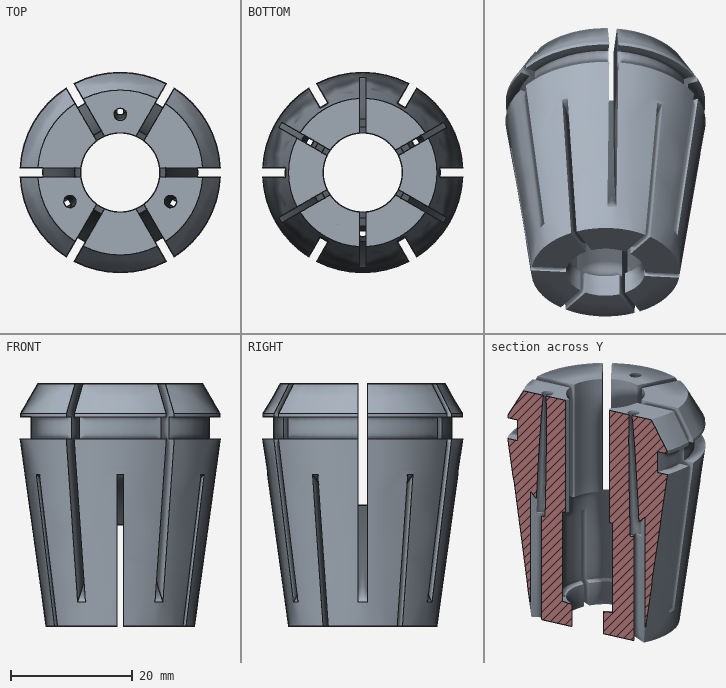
import cadquery as cq
import math

HEIGHT = 40.0
BODY_TOP_RADIUS = 16.5
BODY_TOP_Z = 30.9
BODY_BOTTOM_RADIUS = 12.22

GROOVE_RADIUS = 14.7
RIM_RADIUS = 16.44
RIM_BOTTOM_Z = 34.5
RIM_TOP_Z = 35.05
HEAD_CONE_ANGLE = 30.0
HEAD_TOP_RADIUS = RIM_RADIUS - (HEIGHT - RIM_TOP_Z) * math.tan(math.radians(HEAD_CONE_ANGLE))

BORE_RADIUS = 6.5
RELIEF_RADIUS = 7.5
RELIEF_TOP_Z = 20.0
RELIEF_BOTTOM_Z = 4.0
RELIEF_CONE_HEIGHT = 0.22

SLOT_COUNT = 6
SLOT_PITCH = 360.0 / SLOT_COUNT
TOP_SLOT_WIDTH = 1.5
TOP_SLOT_INNER_Z = RELIEF_TOP_Z
TOP_SLOT_OUTER_Z = 4.0
BOTTOM_SLOT_WIDTH = 1.0
BOTTOM_SLOT_FLAT_RADIUS = 8.8
BOTTOM_SLOT_INNER_Z = 16.75
BOTTOM_SLOT_OUTER_Z = 25.0
BOTTOM_SLOT_FLOOR_RADIUS = 17.0

COOLANT_HOLE_COUNT = 3
COOLANT_HOLE_DIAMETER = 2.0
COOLANT_HOLE_RADIUS = 9.55
COOLANT_HOLE_DEPTH = 21.5
COOLANT_HOLE_TILT = 2.6
COOLANT_FIRST_ANGLE = 90.0

CLEARANCE = 5.0


def body_radius_at(z):
    """Radius of the long outer taper at height z."""
    return BODY_BOTTOM_RADIUS + (BODY_TOP_RADIUS - BODY_BOTTOM_RADIUS) * z / BODY_TOP_Z


def turned_blank():
    profile = (
        cq.Workplane("XZ")
        .moveTo(0, 0)
        .lineTo(BODY_BOTTOM_RADIUS, 0)
        .lineTo(BODY_TOP_RADIUS, BODY_TOP_Z)
        .lineTo(GROOVE_RADIUS, BODY_TOP_Z)
        .lineTo(GROOVE_RADIUS, RIM_BOTTOM_Z)
        .lineTo(RIM_RADIUS, RIM_BOTTOM_Z)
        .lineTo(RIM_RADIUS, RIM_TOP_Z)
        .lineTo(HEAD_TOP_RADIUS, HEIGHT)
        .lineTo(0, HEIGHT)
        .close()
    )
    return profile.revolve(360, (0, 0, 0), (0, 1, 0))


def bore():
    profile = (
        cq.Workplane("XZ")
        .moveTo(0, 0)
        .lineTo(BORE_RADIUS, 0)
        .lineTo(BORE_RADIUS, RELIEF_BOTTOM_Z)
        .lineTo(RELIEF_RADIUS, RELIEF_BOTTOM_Z + RELIEF_CONE_HEIGHT)
        .lineTo(RELIEF_RADIUS, RELIEF_TOP_Z)
        .lineTo(BORE_RADIUS, RELIEF_TOP_Z)
        .lineTo(BORE_RADIUS, HEIGHT)
        .lineTo(0, HEIGHT)
        .close()
    )
    return profile.revolve(360, (0, 0, 0), (0, 1, 0))


def slot(inner, outer, floor_radius, open_z, width):
    """Slot along +X, open at open_z.

    From the axis its floor runs level to the (radius, z) point inner, then in an arc to outer.
    The sign of floor_radius picks the side on which the arc bulges.
    """
    outside = BODY_TOP_RADIUS + CLEARANCE
    profile = (
        cq.Workplane("XZ")
        .moveTo(0, inner[1])
        .lineTo(*inner)
        .radiusArc(outer, floor_radius)
        .lineTo(outside, outer[1])
        .lineTo(outside, open_z)
        .lineTo(0, open_z)
        .close()
    )
    return profile.extrude(width / 2, both=True)


def upright_arc_radius(rise, run):
    """Radius of an arc that starts vertical and spans the given rise and run."""
    return (rise**2 + run**2) / (2 * run)


def coolant_hole():
    """Blind hole over +X, drilled from the top face and leaning away from the axis."""
    tilt = math.radians(COOLANT_HOLE_TILT)
    direction = cq.Vector(math.sin(tilt), 0, -math.cos(tilt))
    entry = cq.Vector(COOLANT_HOLE_RADIUS, 0, HEIGHT)
    start = entry - direction * CLEARANCE
    length = COOLANT_HOLE_DEPTH + CLEARANCE
    return cq.Workplane(cq.Solid.makeCylinder(COOLANT_HOLE_DIAMETER / 2, length, start, direction))


def cut_around(part, cutter, count, first_angle):
    for index in range(count):
        angle = first_angle + index * 360.0 / count
        part = part.cut(cutter.rotate((0, 0, 0), (0, 0, 1), angle))
    return part


def top_slot():
    """Top slot, whose floor rises from the taper to an upright tangent at the relief wall."""
    inner = (RELIEF_RADIUS, TOP_SLOT_INNER_Z)
    outer = (body_radius_at(TOP_SLOT_OUTER_Z), TOP_SLOT_OUTER_Z)
    floor_radius = upright_arc_radius(inner[1] - outer[1], outer[0] - inner[0])
    return slot(inner, outer, -floor_radius, HEIGHT + CLEARANCE, TOP_SLOT_WIDTH)


def bottom_slot():
    """Bottom slot, whose floor is level near the bore and then curves up to the taper."""
    inner = (BOTTOM_SLOT_FLAT_RADIUS, BOTTOM_SLOT_INNER_Z)
    outer = (body_radius_at(BOTTOM_SLOT_OUTER_Z), BOTTOM_SLOT_OUTER_Z)
    return slot(inner, outer, BOTTOM_SLOT_FLOOR_RADIUS, -CLEARANCE, BOTTOM_SLOT_WIDTH)


result = turned_blank().cut(bore())
result = cut_around(result, top_slot(), SLOT_COUNT, 0)
result = cut_around(result, bottom_slot(), SLOT_COUNT, SLOT_PITCH / 2)
result = cut_around(result, coolant_hole(), COOLANT_HOLE_COUNT, COOLANT_FIRST_ANGLE)